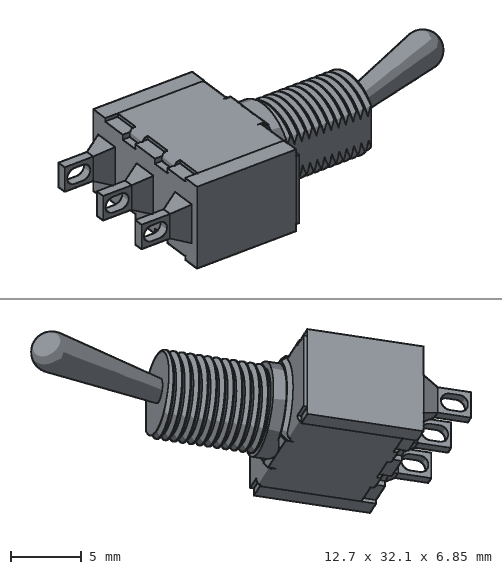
import cadquery as cq
import math


HOUSING_WIDTH = 12.7
HOUSING_DEPTH = 6.85
HOUSING_HEIGHT = 8.62

SHEET = 0.3
FRAME_WIDTH = 9.77
FRAME_BOTTOM = 1.1
FRAME_TOP = HOUSING_HEIGHT + SHEET
BEND_RADIUS = 2 * SHEET
TONGUE_WIDTH = 4.18

TAB_WIDTH = 1.55
TAB_OFFSET = 1.95
TAB_REACH = 0.7
TAB_HEIGHT = 0.48
TAB_RADIUS = 0.45

BOSS_TOP = 9.25
BOSS_BASE_RADIUS = 4.08
BOSS_TOP_RADIUS = 3.6
BOSS_CHAMFER = BOSS_TOP - FRAME_TOP

COLLAR_DIAMETER = HOUSING_DEPTH
COLLAR_TOP = 10.22
BUSHING_TOP = 17.8
THREAD_DIAMETER = 6.35
THREAD_TURNS = 11.9
THREAD_PITCH = (BUSHING_TOP - COLLAR_TOP) / THREAD_TURNS
THREAD_DEPTH = 0.4
CREST_FLAT = THREAD_PITCH / 8
GROOVE_OVERCUT = 0.03
BUSHING_FLAT_X = 2.6

LEVER_ANGLE = 20.0
LEVER_PIVOT_Y = 16.65
LEVER_TOP = 28.23
LEVER_BALL_RADIUS = 1.48
LEVER_ROOT_RADIUS = 0.8

TERMINAL_PITCH = 4.7
TERMINAL_TIP = 3.92
TAPER_LENGTH = 1.45
TAPER_BASE_WIDTH = 2.05
TAPER_BASE_DEPTH = 3.25
BLADE_THICKNESS = 0.77
BLADE_DEPTH = 2.05
EYELET_LENGTH = 2.0
EYELET_WIDTH = 1.32
EYELET_FROM_TIP = 1.22


def upright_box(width, bottom, top, depth):
    """Box centred on the switch axis, from Y = bottom to Y = top."""
    return (
        cq.Workplane("XZ", origin=(0, bottom, 0))
        .rect(width, depth)
        .extrude(bottom - top)
    )


def upright_cylinder(diameter, bottom, top):
    return (
        cq.Workplane("XZ", origin=(0, bottom, 0))
        .circle(diameter / 2)
        .extrude(bottom - top)
    )


def round_top_edges(block, radius):
    """Round the two upper edges that run along X."""
    return block.faces(">Y").edges("|X").fillet(radius)


def frame_core():
    """Space inside the folded frame, filled by the middle of the housing."""
    core = upright_box(FRAME_WIDTH, 0, HOUSING_HEIGHT, HOUSING_DEPTH - 2 * SHEET)
    return round_top_edges(core, BEND_RADIUS - SHEET)


def tab_blocks(bottom, top):
    """Four blocks, two on each broad side, reaching TAB_REACH below the surface."""
    length = top - bottom
    centers = [
        (x, z * (HOUSING_DEPTH - TAB_REACH) / 2)
        for x in (-TAB_OFFSET, TAB_OFFSET)
        for z in (-1, 1)
    ]
    return (
        cq.Workplane("XZ", origin=(0, bottom, 0))
        .pushPoints(centers)
        .rect(TAB_WIDTH, TAB_REACH)
        .extrude(-length)
    )


def make_housing():
    end_width = (HOUSING_WIDTH - FRAME_WIDTH) / 2
    end_center = (HOUSING_WIDTH - end_width) / 2
    housing = frame_core()
    for side in (-1, 1):
        end_cap = upright_box(end_width, 0, HOUSING_HEIGHT, HOUSING_DEPTH)
        housing = housing.union(end_cap.translate((side * end_center, 0, 0)))
    return housing.cut(tab_blocks(0, FRAME_BOTTOM))


def chamfered_box(width):
    """Box as tall as the frame with its boss, chamfered along the two upper long edges."""
    block = upright_box(width, FRAME_BOTTOM, BOSS_TOP, HOUSING_DEPTH)
    return block.faces(">Y").edges("|X").chamfer(BOSS_CHAMFER)


def make_boss():
    """Cone around the collar, trimmed at the broad sides of the frame."""
    height = BOSS_TOP - HOUSING_HEIGHT
    cone = cq.Workplane(
        cq.Solid.makeCone(
            BOSS_BASE_RADIUS,
            BOSS_TOP_RADIUS,
            height,
            pnt=cq.Vector(0, HOUSING_HEIGHT, 0),
            dir=cq.Vector(0, 1, 0),
        )
    )
    return cone.intersect(chamfered_box(HOUSING_WIDTH))


def make_tabs():
    """Tabs that curve inward at the bottom of the frame's broad sides."""
    tabs = tab_blocks(FRAME_BOTTOM - TAB_HEIGHT, FRAME_BOTTOM)
    for broad_side in (">Z", "<Z"):
        tabs = tabs.faces(broad_side).edges("<Y").fillet(TAB_RADIUS)
    return tabs


def make_frame():
    shell = upright_box(FRAME_WIDTH, FRAME_BOTTOM, FRAME_TOP, HOUSING_DEPTH)
    shell = round_top_edges(shell, BEND_RADIUS)
    top_plate = upright_box(
        HOUSING_WIDTH, HOUSING_HEIGHT, FRAME_TOP, HOUSING_DEPTH - 2 * BEND_RADIUS
    )
    tongue = chamfered_box(TONGUE_WIDTH)
    frame = shell.union(top_plate).union(tongue).union(make_boss())
    collar_seat = upright_cylinder(COLLAR_DIAMETER, FRAME_TOP, COLLAR_TOP)
    return frame.cut(frame_core()).union(make_tabs()).cut(collar_seat)


def make_thread_groove():
    """Right-hand helical V groove that starts below the collar top and ends above the bushing."""
    start = COLLAR_TOP - THREAD_PITCH / 2
    length = BUSHING_TOP + THREAD_PITCH - start
    crest_radius = THREAD_DIAMETER / 2
    groove_depth = THREAD_DEPTH + GROOVE_OVERCUT
    half_mouth = (THREAD_PITCH - CREST_FLAT) / 2 * groove_depth / THREAD_DEPTH
    root_radius = crest_radius - THREAD_DEPTH
    helix = cq.Wire.makeHelix(THREAD_PITCH, length, crest_radius / 2)
    groove = (
        cq.Workplane("XZ")
        .moveTo(root_radius, 0)
        .lineTo(root_radius + groove_depth, half_mouth)
        .lineTo(root_radius + groove_depth, -half_mouth)
        .close()
        .sweep(cq.Workplane(helix), isFrenet=True)
    )
    return groove.rotate((0, 0, 0), (1, 0, 0), -90).translate((0, start, 0))


def make_thread():
    """Threaded cylinder, trimmed to length and flattened on its +X side."""
    blank = upright_cylinder(
        THREAD_DIAMETER, COLLAR_TOP - 2 * THREAD_PITCH, BUSHING_TOP + 3 * THREAD_PITCH
    )
    kept_space = upright_box(2 * THREAD_DIAMETER, COLLAR_TOP, BUSHING_TOP, 2 * THREAD_DIAMETER)
    kept_space = kept_space.translate((BUSHING_FLAT_X - THREAD_DIAMETER, 0, 0))
    return blank.cut(make_thread_groove()).intersect(kept_space)


def make_lever():
    """Tapered lever with a ball end, tilted toward -X about the pivot."""
    tilt = math.radians(LEVER_ANGLE)
    length = (LEVER_TOP - LEVER_BALL_RADIUS - LEVER_PIVOT_Y) / math.cos(tilt)
    diagonal = LEVER_BALL_RADIUS * math.sqrt(0.5)
    lever = (
        cq.Workplane("XY")
        .lineTo(LEVER_ROOT_RADIUS, 0)
        .lineTo(LEVER_BALL_RADIUS, length)
        .threePointArc((diagonal, length + diagonal), (0, length + LEVER_BALL_RADIUS))
        .close()
        .revolve(360, (0, 0, 0), (0, 1, 0))
    )
    return lever.rotate((0, 0, 0), (0, 0, 1), LEVER_ANGLE).translate((0, LEVER_PIVOT_Y, 0))


def make_bushing(lever):
    collar = upright_cylinder(COLLAR_DIAMETER, FRAME_TOP, COLLAR_TOP)
    return collar.union(make_thread()).cut(lever)


def make_terminal(x):
    """Tapered root on the housing base with a flat blade and an eyelet."""
    root = (
        cq.Workplane("XZ")
        .rect(TAPER_BASE_WIDTH, TAPER_BASE_DEPTH)
        .workplane(offset=TAPER_LENGTH)
        .rect(BLADE_THICKNESS, BLADE_DEPTH)
        .loft(ruled=True)
    )
    blade = upright_box(BLADE_THICKNESS, -TERMINAL_TIP, -TAPER_LENGTH, BLADE_DEPTH)
    eyelet = (
        cq.Workplane("YZ")
        .center(EYELET_FROM_TIP - TERMINAL_TIP, 0)
        .slot2D(EYELET_LENGTH, EYELET_WIDTH)
        .extrude(BLADE_THICKNESS, both=True)
    )
    return root.union(blade).cut(eyelet).translate((x, 0, 0))


housing = make_housing()
frame = make_frame()
lever = make_lever()
bushing = make_bushing(lever)
terminals = [make_terminal(i * TERMINAL_PITCH) for i in (-1, 0, 1)]

result = cq.Compound.makeCompound(
    [
        housing.val(),
        frame.val(),
        bushing.val(),
        lever.val(),
        *[terminal.val() for terminal in terminals],
    ]
)